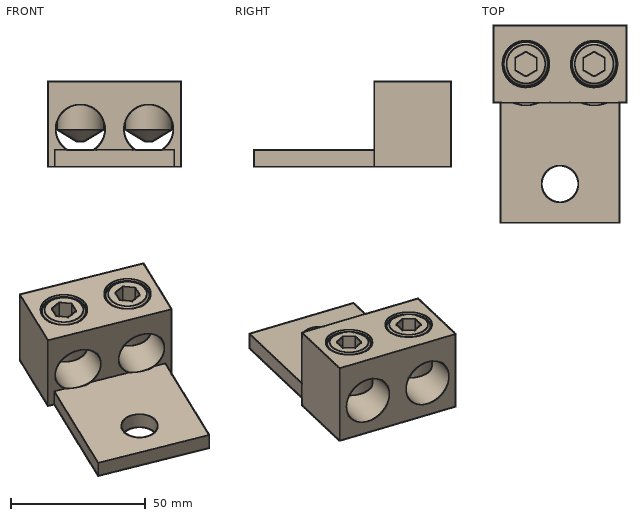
import cadquery as cq
import math

overall_length = 73.15
block_width = 49.3
block_depth = 28.6
block_height = 31.75
tongue_length = overall_length - block_depth
tongue_width = 44.25
tongue_thickness = 6.4
mounting_hole_diameter = 13.45
mounting_hole_end_distance = 14.4

bore_spacing = 25.3
bore_diameter = 18.2
bore_height = 14.05
groove_length = 1.0

screw_diameter = 17.4
screw_top_chamfer = 1.5
screw_shoulder_height = 13.8
screw_tip_height = 9.35
screw_tip_diameter = 2.6
socket_width = 8.0
socket_depth = 8.8

throat_diameter = 16.3
mouth_diameter = 17.4

bore_positions = [-bore_spacing / 2, bore_spacing / 2]
screw_y = block_depth / 2


def revolve_about_z(profile, x):
    """Turn a (radius, height) profile about the vertical axis of the screw at x."""
    turned = cq.Workplane("XZ").polyline(profile).close().revolve(360, (0, 0), (0, 1))
    return turned.translate((x, screw_y, 0))


def make_screw_blank(x):
    """Screw outline without its socket: chamfered top and blunt conical tip."""
    radius = screw_diameter / 2
    return revolve_about_z(
        [
            (0, screw_tip_height),
            (screw_tip_diameter / 2, screw_tip_height),
            (radius, screw_shoulder_height),
            (radius, block_height - screw_top_chamfer),
            (radius - screw_top_chamfer, block_height),
            (0, block_height),
        ],
        x,
    )


def make_screw(x):
    """Clamping screw with a hexagon socket whose corners point along Y."""
    socket_corner_diameter = socket_width / math.cos(math.pi / 6)
    socket = (
        cq.Workplane("XY")
        .polygon(6, socket_corner_diameter)
        .extrude(socket_depth)
        .rotate((0, 0, 0), (0, 0, 1), 90)
        .translate((x, screw_y, block_height - socket_depth))
    )
    return make_screw_blank(x).cut(socket)


def make_screw_mouth(x):
    """Space at the top of a screw hole: narrow throat with a 45 degree countersink."""
    throat_radius = throat_diameter / 2
    mouth_radius = mouth_diameter / 2
    throat_bottom = block_height - screw_top_chamfer
    countersink_bottom = block_height - (mouth_radius - throat_radius)
    return revolve_about_z(
        [
            (0, throat_bottom),
            (throat_radius, throat_bottom),
            (throat_radius, countersink_bottom),
            (mouth_radius, block_height),
            (0, block_height),
        ],
        x,
    )


def make_wire_bore(x):
    """Through bore whose cone thins out on the tongue at groove_length from the block."""
    radius = bore_diameter / 2
    radius_at_groove_end = bore_height - tongue_thickness
    cone_length = groove_length * radius / (radius - radius_at_groove_end)
    bore = (
        cq.Workplane("XY")
        .polyline([(0, block_depth), (radius, block_depth), (radius, 0), (0, -cone_length)])
        .close()
        .revolve(360, (0, 0), (0, 1))
    )
    return bore.translate((x, 0, bore_height))


def make_lug():
    """Block and tongue in one piece, with the mounting hole, bores and screw holes."""
    block = cq.Workplane("XY").box(
        block_width, block_depth, block_height, centered=(True, False, False)
    )
    tongue = (
        cq.Workplane("XY")
        .box(tongue_width, tongue_length, tongue_thickness, centered=(True, False, False))
        .translate((0, -tongue_length, 0))
    )
    mounting_hole = (
        cq.Workplane("XY")
        .center(0, mounting_hole_end_distance - tongue_length)
        .circle(mounting_hole_diameter / 2)
        .extrude(tongue_thickness)
    )
    lug = block.union(tongue).cut(mounting_hole)
    for x in bore_positions:
        lug = lug.cut(make_wire_bore(x))
        lug = lug.cut(make_screw_mouth(x))
        lug = lug.cut(make_screw_blank(x))
    return lug


lug = make_lug()
screws = [make_screw(x).solids().val() for x in bore_positions]

result = cq.Compound.makeCompound([lug.solids().val(), *screws])